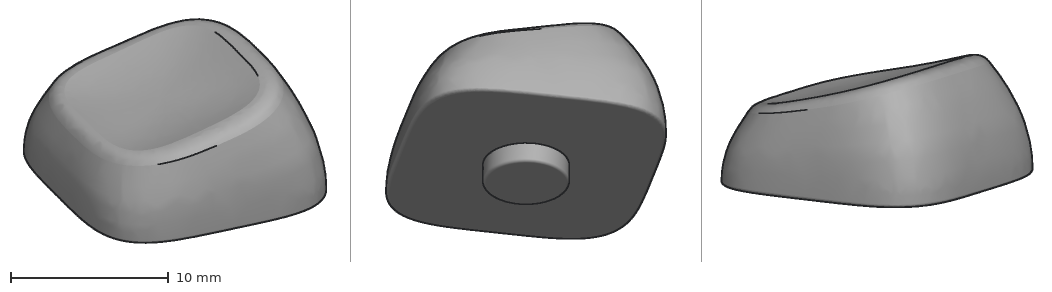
import cadquery as cq
import math

shapes = cq.occ_impl.shapes

STEM_DIAMETER = 5.5
STEM_EDGE_FILLET = 0.2
CAP_BOTTOM = 1.34

SKIRT_LENGTH = 17.48
SKIRT_WIDTH = 16.49
SKIRT_SQUARENESS = 4.15
LIP_RADIUS = 0.22
SKIRT_FLARE = 2.0

SHOULDER_LENGTH = 15.08
SHOULDER_BACK = 5.95
SHOULDER_FRONT = -7.18
SHOULDER_SQUARENESS = 3.1
SHOULDER_HEIGHT = 7.07
SHOULDER_SLOPE = 0.225
SHOULDER_SAG = 0.0085
SHOULDER_FRONT_DROP = 0.3
FRONT_DROP_POWER = 6

DISH_LENGTH = 12.2
DISH_BACK = 4.38
DISH_FRONT = -6.18
DISH_SQUARENESS = 3.7
DISH_EDGE_HEIGHT = 7.7
DISH_SLOPE = 0.273
DISH_SAG = 0.0075
DISH_DEPTH = 0.61
DISH_CURVE = 2.3

RIM_APEX_REACH = 0.69
RIM_CROWN = 0.16
RIM_CROWN_SLOPE = 0.03

RING_POINTS = 48
LIP_STEPS = 3
SKIRT_STEPS = 4
RIM_STEPS = 4
DISH_STEPS = 4
SEWING_TOLERANCE = 0.001


def outline_point(angle, length, back, front, squareness):
    """XY point, at a polar angle, of a superellipse that spans front..back in Y."""
    half_length = length / 2
    half_width = (back - front) / 2
    cosine = math.cos(angle)
    sine = math.sin(angle)
    reach = abs(cosine / half_length) ** squareness + abs(sine / half_width) ** squareness
    radius = reach ** (-1 / squareness)
    return radius * cosine, (back + front) / 2 + radius * sine


def skirt_point(angle, inset=0.0):
    """Point of the skirt's widest level, optionally moved inwards."""
    half_width = SKIRT_WIDTH / 2 - inset
    x, y = outline_point(angle, SKIRT_LENGTH - 2 * inset, half_width, -half_width, SKIRT_SQUARENESS)
    return cq.Vector(x, y, CAP_BOTTOM + LIP_RADIUS)


def lip_point(angle, step):
    """Point of the rounded lower edge, from the underside up to the skirt."""
    turn = math.pi / 2 * step / LIP_STEPS
    point = skirt_point(angle, LIP_RADIUS * (1 - math.sin(turn)))
    return cq.Vector(point.x, point.y, point.z - LIP_RADIUS * math.cos(turn))


def shoulder_point(angle):
    """Point of the sloping line where skirt and rim meet."""
    x, y = outline_point(angle, SHOULDER_LENGTH, SHOULDER_BACK, SHOULDER_FRONT, SHOULDER_SQUARENESS)
    frontness = max(0.0, y / SHOULDER_FRONT)
    drop = SHOULDER_FRONT_DROP * frontness ** FRONT_DROP_POWER
    return cq.Vector(x, y, SHOULDER_HEIGHT + SHOULDER_SLOPE * y + SHOULDER_SAG * y ** 2 - drop)


def dish_point(angle, fraction):
    """Point of the dish: fraction 0 is the middle of its floor, 1 is its edge."""
    middle = (DISH_BACK + DISH_FRONT) / 2
    edge_x, edge_y = outline_point(angle, DISH_LENGTH, DISH_BACK, DISH_FRONT, DISH_SQUARENESS)
    x = edge_x * fraction
    y = middle + (edge_y - middle) * fraction
    sunk = DISH_DEPTH * (1 - fraction ** DISH_CURVE)
    return cq.Vector(x, y, DISH_EDGE_HEIGHT + DISH_SLOPE * y + DISH_SAG * y ** 2 - sunk)


def side_point(angle, step):
    """Point of the skirt wall: vertical at the bottom, leaning in towards the shoulder."""
    fraction = step / SKIRT_STEPS
    lean = fraction ** SKIRT_FLARE
    bottom = skirt_point(angle)
    top = shoulder_point(angle)
    run = top - bottom
    return bottom + cq.Vector(run.x * lean, run.y * lean, run.z * fraction)


def rim_point(angle, step):
    """Point of the rounded rim: a quadratic Bezier arc from shoulder to dish edge."""
    fraction = step / RIM_STEPS
    outer = shoulder_point(angle)
    inner = dish_point(angle, 1)
    apex = inner + (outer - inner) * RIM_APEX_REACH
    apex.z = inner.z + RIM_CROWN + RIM_CROWN_SLOPE * inner.y
    outer_weight = (1 - fraction) ** 2
    apex_weight = 2 * fraction * (1 - fraction)
    return outer * outer_weight + apex * apex_weight + inner * fraction ** 2


def ring(point_at, level):
    """Closed smooth curve through points of one level of the cap."""
    angles = [2 * math.pi * i / RING_POINTS for i in range(RING_POINTS)]
    points = [point_at(angle, level) for angle in angles]
    return cq.Wire.assembleEdges([cq.Edge.makeSpline(points, periodic=True)])


def make_dish():
    """Smooth hollow that closes onto the middle of its floor."""
    rings = [ring(dish_point, step / DISH_STEPS) for step in range(DISH_STEPS, 0, -1)]
    return shapes.loft(*rings, cq.Vertex.makeVertex(*dish_point(0, 0).toTuple()))


def make_cap():
    """Solid cap sewn from its underside, lip, skirt, rim and dish faces."""
    lip_rings = [ring(lip_point, step) for step in range(LIP_STEPS + 1)]
    skirt_rings = [ring(side_point, step) for step in range(SKIRT_STEPS + 1)]
    rim_rings = [ring(rim_point, step) for step in range(RIM_STEPS + 1)]
    underside = cq.Face.makeFromWires(lip_rings[0])
    lip = shapes.loft(*lip_rings, compat=False)
    skirt = shapes.loft(*skirt_rings, compat=False)
    rim = shapes.loft(*rim_rings, compat=False)
    dish = make_dish()
    return shapes.solid(shapes.shell(underside, lip, skirt, rim, dish, tol=SEWING_TOLERANCE))


def make_stem():
    stem = cq.Workplane("XY").circle(STEM_DIAMETER / 2).extrude(CAP_BOTTOM)
    return stem.faces("<Z").edges().fillet(STEM_EDGE_FILLET)


result = make_stem().union(cq.Workplane(make_cap()))